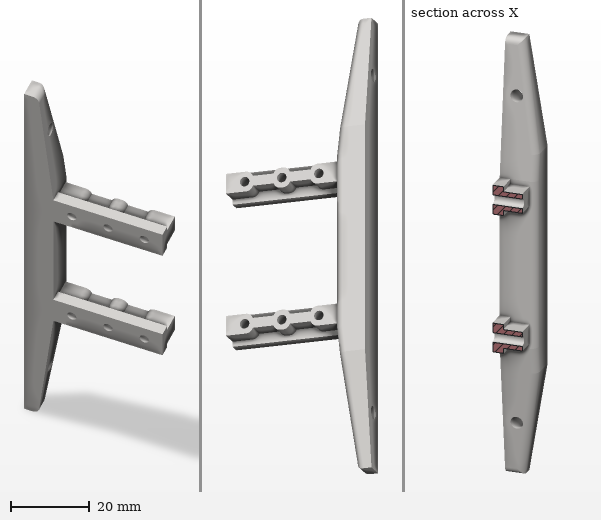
import cadquery as cq

length = 120.0
bar_width = 8.0
bar_depth = 10.0
tip_width = 4.0
tip_depth = 5.0
rear_flat_half = 30.0
edge_radius = 1.9
bar_hole_diameter = 3.4
bar_hole_y = 3.7
bar_hole_z = 45.0

overall_width = 38.0
arm_height = 8.0
arm_center_z = 19.0
plate_depth = 3.0
arm_depth = bar_depth - edge_radius
arm_hole_diameter = 2.5
arm_hole_pitch = 10.0
hole_end_margin = 5.0
boss_half_height = 2.6
boss_half_length = 2.3
boss_corner_radius = 1.9
web_half_height = 1.3

half_length = length / 2
taper_start_z = arm_center_z + arm_height / 2
last_hole_x = overall_width - hole_end_margin
hole_positions = [last_hole_x - i * arm_hole_pitch for i in (2, 1, 0)]


def tapered_profile(plane, full, tip, straight_half):
    """Symmetric outline, straight in the middle and narrowing to both ends."""
    return cq.Workplane(plane).polyline([
        (0, -half_length),
        (tip, -half_length),
        (full, -straight_half),
        (full, straight_half),
        (tip, half_length),
        (0, half_length),
    ]).close()


def make_bar():
    """Bar tapered in width and depth, rounded along its rear inner edge and ends."""
    side = tapered_profile("XZ", bar_width, tip_width, taper_start_z).extrude(-bar_depth)
    depth = tapered_profile("YZ", bar_depth, tip_depth, rear_flat_half).extrude(bar_width)
    bar = side.intersect(depth)
    inner_faces = [face for face in bar.faces().vals() if face.normalAt().x > 0.5]
    inner_edges = [edge for face in inner_faces for edge in face.Edges()]
    rim_edges = [
        edge
        for edge in inner_edges
        if edge.Center().y > 0 and sum(edge.isSame(other) for other in inner_edges) == 1
    ]
    return bar.newObject(rim_edges).fillet(edge_radius)


def box_from(x_start, x_end, y_end, half_height, z):
    """Block with its front face at Y = 0 and centred on height z."""
    return cq.Workplane("XY").box(
        x_end - x_start, y_end, 2 * half_height, centered=(False, False, True)
    ).translate((x_start, 0, z))


def cylinder_y(x, z, diameter):
    """Cylinder along Y through the depth of an arm."""
    return cq.Workplane("XZ").center(x, z).circle(diameter / 2).extrude(-arm_depth)


def make_arm(z):
    """Front plate backed by a thin web that widens around each hole."""
    root_x = tip_width / 2
    arm = box_from(root_x, overall_width, plate_depth, arm_height / 2, z)
    rear = box_from(root_x, overall_width, arm_depth, web_half_height, z)
    first_x, middle_x, last_x = hole_positions
    boss_spans = [
        (root_x, first_x + boss_half_length),
        (middle_x - boss_half_length, middle_x + boss_half_length),
        (last_x - boss_half_length, overall_width),
    ]
    rounded_sides = [">X and |Y", "|Y", "<X and |Y"]
    for (x_start, x_end), side in zip(boss_spans, rounded_sides):
        boss = box_from(x_start, x_end, arm_depth, boss_half_height, z)
        rear = rear.union(boss.edges(side).fillet(boss_corner_radius))
    return arm.union(rear)


result = make_bar()
for arm_z in (-arm_center_z, arm_center_z):
    result = result.union(make_arm(arm_z))
    for hole_x in hole_positions:
        result = result.cut(cylinder_y(hole_x, arm_z, arm_hole_diameter))

bar_holes = (
    cq.Workplane("YZ")
    .pushPoints([(bar_hole_y, -bar_hole_z), (bar_hole_y, bar_hole_z)])
    .circle(bar_hole_diameter / 2)
    .extrude(bar_width)
)
result = result.cut(bar_holes)